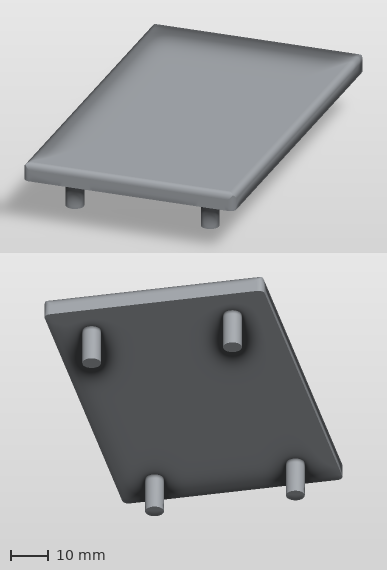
import cadquery as cq

plate_width = 60.0
plate_length = 100.0
plate_thickness = 5.0
edge_radius = 1.7

peg_diameter = 5.0
peg_height = 10.0
peg_inset = 10.8


def plate_block():
    """Sharp-edged plate resting on Z = 0."""
    return cq.Workplane("XY").box(
        plate_width, plate_length, plate_thickness, centered=(True, True, False)
    )


def make_plate():
    """Plate with three crossing roundings that meet in mitred corners, not a ball blend."""
    rounded_corners = plate_block().edges("|Z").fillet(edge_radius)
    rounded_long_edges = plate_block().edges("|Y and >Z").fillet(edge_radius)
    rounded_short_edges = plate_block().edges("|X and >Z").fillet(edge_radius)
    return rounded_long_edges.intersect(rounded_short_edges).intersect(rounded_corners)


def make_pegs():
    """Four round pegs hanging from the underside of the plate."""
    return (
        cq.Workplane("XY")
        .rect(plate_width - 2 * peg_inset, plate_length - 2 * peg_inset, forConstruction=True)
        .vertices()
        .circle(peg_diameter / 2)
        .extrude(-peg_height)
    )


result = make_plate().union(make_pegs())